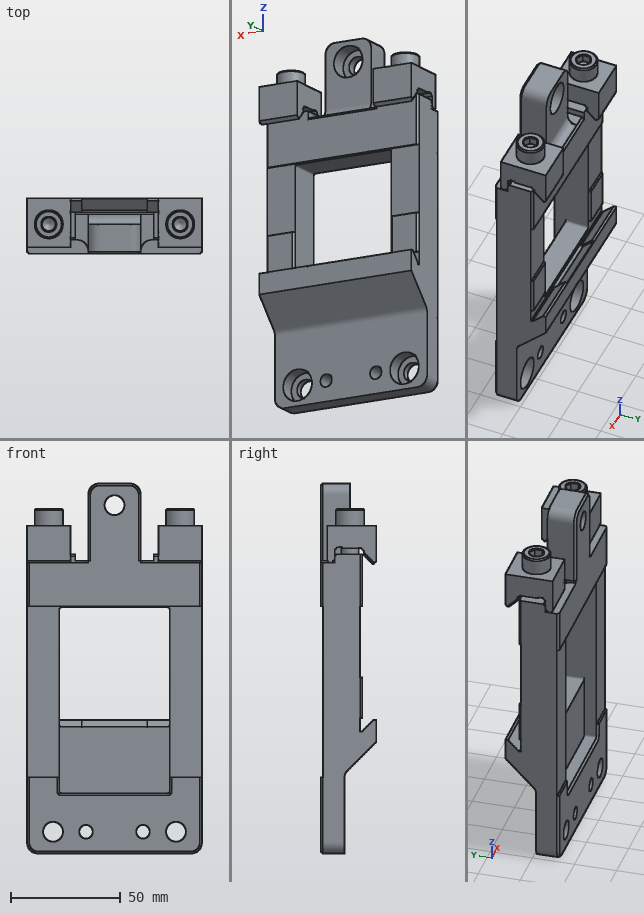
import cadquery as cq

WIDTH = 80.0
HEIGHT = 169.0
DEPTH = 25.5
PAD = 1.0
BACK_Y = 18.0
FOOT_BACK_Y = 11.0
BOTTOM_RADIUS = 5.0
HALF_WIDTH = WIDTH / 2

POST_TOP_Z = 136.7
SADDLE_TOP_Z = 133.7
SADDLE_HALF_WIDTH = 17.9
SHELF_Z = 132.7
SHELF_BACK_Y = 6.5
SHELF_CORNER_RADIUS = 5.0
POST_CHAMFER = 1.0
TONGUE_WIDTH = 24.0
TONGUE_BACK_Y = 13.5
TONGUE_RADIUS = 5.0
TONGUE_ROOT_RADIUS = 4.0

WINDOW_WIDTH = 50.4
WINDOW_TOP_Z = 112.4
WINDOW_BOTTOM_Z = 57.8
WINDOW_RADIUS = 1.0
POCKET_BOTTOM_Z = 27.5
POCKET_DEPTH = 6.8
UPPER_PAD_BOTTOM_Z = 112.9
LOWER_PAD_TOP_Z = 34.8
REAR_PAD_BOTTOM_Z = 61.9
REAR_PAD_TOP_Z = 80.5

HOOK_TOP_Z = 61.0
HOOK_TIP_WIDTH = 1.4
HOOK_NOTCH_Z = 55.8
HOOK_BASE_Z = 51.0
HOOK_ROOT_RADIUS = 4.0
HOOK_RELIEF = 1.0
HOOK_RELIEF_WIDTH = 30.0

BOLT_DIAMETER = 9.0
BOLT_HEAD_DIAMETER = 15.0
BOLT_SEAT_Y = 3.5
TONGUE_SEAT_Y = 4.9
BOLT_X = 28.0
LOWER_HOLE_Z = 10.0
PIN_DIAMETER = 6.0
PIN_X = 13.0
TONGUE_HOLE_Z = 159.0

CLAMP_WIDTH = 20.0
CLAMP_TOP_Z = 149.7
CLAMP_FRONT_Y = 3.0
CLAMP_ROOF_Z = 139.5
CLAMP_RELIEF_Z = 140.0
CLAMP_RELIEF_Y = 10.0
CLAMP_HOOK_INNER_Y = 19.8
CLAMP_HOOK_SLOPE_Z = 136.2
CLAMP_TIP_Z = 132.0
CLAMP_HOOK_BEVEL = 0.8
FOOT_OUTER_CHAMFER = 1.0
FOOT_INNER_CHAMFER = 1.5
ROOF_CHAMFER = 1.4
CLAMP_HOLE_DIAMETER = 9.0

SCREW_X = HALF_WIDTH - CLAMP_WIDTH / 2
SCREW_Y = 13.5
SHANK_DIAMETER = 8.0
HEAD_DIAMETER = 13.0
HEAD_HEIGHT = 7.8
HEAD_CHAMFER = 0.7
SOCKET_FLATS = 6.0
SOCKET_MOUTH_DIAMETER = 7.1
SOCKET_DEPTH = 4.0
SOCKET_CONE_DEPTH = 1.7
SOCKET_BEVEL = 0.5
SCREW_TIP_Z = 117.3

SIDES = (-1, 1)


def block(x0, x1, y0, y1, z0, z1):
    """Box between two opposite corners."""
    return cq.Workplane("XY").box(x1 - x0, y1 - y0, z1 - z0, centered=False).translate((x0, y0, z0))


def side_prism(points, width):
    """Outline of (y, z) points extruded along X, centred on X = 0."""
    return cq.Workplane("YZ").polyline(points).close().extrude(width / 2, both=True)


def cylinder_y(x, z, diameter, y0, y1):
    """Cylinder along Y."""
    return cq.Workplane("XZ", origin=(x, y0, z)).circle(diameter / 2).extrude(y0 - y1)


def cylinder_z(x, y, diameter, z0, z1):
    """Cylinder along Z."""
    return cq.Workplane("XY", origin=(x, y, z0)).circle(diameter / 2).extrude(z1 - z0)


def cone_down(x, y, top_z, top_diameter, end_diameter, depth):
    """Cone or frustum that narrows downwards from top_z."""
    return cq.Workplane(
        cq.Solid.makeCone(
            top_diameter / 2, end_diameter / 2, depth, cq.Vector(x, y, top_z), cq.Vector(0, 0, -1)
        )
    )


def plate():
    """Full-width plate up to the post tops, with rounded lower corners and a chamfered front outline."""
    body = block(-HALF_WIDTH, HALF_WIDTH, 0, BACK_Y, 0, POST_TOP_Z)
    body = body.edges("|Y and <Z").fillet(BOTTOM_RADIUS)
    body = body.faces("<Y").edges().chamfer(PAD)
    return body.cut(block(-HALF_WIDTH, HALF_WIDTH, FOOT_BACK_Y, BACK_Y, 0, HOOK_NOTCH_Z))


def hook():
    """Hook across the back: a flat tip and two 45 degree slopes, the upper one set back in the middle."""
    tip_y = DEPTH - HOOK_TIP_WIDTH
    notch_y = tip_y - (HOOK_TOP_Z - HOOK_NOTCH_Z)
    root_z = HOOK_BASE_Z - (DEPTH - FOOT_BACK_Y)
    inner_y = FOOT_BACK_Y / 2
    body = side_prism(
        [
            (inner_y, HOOK_NOTCH_Z),
            (notch_y, HOOK_NOTCH_Z),
            (tip_y, HOOK_TOP_Z),
            (DEPTH, HOOK_TOP_Z),
            (DEPTH, HOOK_BASE_Z),
            (FOOT_BACK_Y, root_z),
            (FOOT_BACK_Y, root_z / 2),
            (inner_y, root_z / 2),
        ],
        WIDTH,
    )
    root = cq.selectors.NearestToPointSelector((0, FOOT_BACK_Y, root_z))
    body = body.edges(root).fillet(HOOK_ROOT_RADIUS)
    relief = side_prism(
        [
            (notch_y, HOOK_NOTCH_Z),
            (notch_y + HOOK_RELIEF, HOOK_NOTCH_Z),
            (tip_y + HOOK_RELIEF, HOOK_TOP_Z),
            (tip_y, HOOK_TOP_Z),
        ],
        HOOK_RELIEF_WIDTH,
    )
    return body.cut(relief)


def rear_pads():
    """Raised pads on the back: across the upper end, and one low on each post."""
    pad_back_y = BACK_Y + PAD
    pads = block(-HALF_WIDTH, HALF_WIDTH, SHELF_BACK_Y, pad_back_y, UPPER_PAD_BOTTOM_Z, SADDLE_TOP_Z)
    pads = pads.edges("(|Z and >Y) or (>Y and >Z)").chamfer(PAD)
    half_window = WINDOW_WIDTH / 2
    post_top = block(SADDLE_HALF_WIDTH, HALF_WIDTH, TONGUE_BACK_Y, pad_back_y, UPPER_PAD_BOTTOM_Z, POST_TOP_Z)
    post_top = post_top.edges("|Z and >X and >Y").chamfer(PAD)
    low = block(half_window, HALF_WIDTH, TONGUE_BACK_Y, pad_back_y, REAR_PAD_BOTTOM_Z, REAR_PAD_TOP_Z)
    low = low.edges("|Z and >Y").chamfer(PAD)
    for pad in (post_top, low):
        pads = pads.union(pad).union(pad.mirror("YZ"))
    return pads


def shelf_space():
    """Space above the +X clamp ledge, rounded at its inner back corner."""
    space = block(TONGUE_WIDTH / 2, HALF_WIDTH, 0, SHELF_BACK_Y, SHELF_Z, POST_TOP_Z)
    space = space.edges("|Z and >Y and <X").fillet(SHELF_CORNER_RADIUS)
    post_edge = [
        (SHELF_BACK_Y, POST_TOP_Z),
        (SHELF_BACK_Y, POST_TOP_Z - POST_CHAMFER),
        (SHELF_BACK_Y + POST_CHAMFER, POST_TOP_Z),
    ]
    bevel = side_prism(post_edge, WIDTH).intersect(
        block(SADDLE_HALF_WIDTH, HALF_WIDTH, 0, BACK_Y, SHELF_Z, POST_TOP_Z)
    )
    return space.union(bevel)


def tongue():
    """Rounded tongue with a chamfered front outline and a concave root behind it."""
    half_tongue = TONGUE_WIDTH / 2
    body = block(-half_tongue, half_tongue, 0, TONGUE_BACK_Y, WINDOW_TOP_Z + PAD, HEIGHT)
    body = body.edges("|Y and >Z").fillet(TONGUE_RADIUS)
    body = body.faces("<Y").edges().chamfer(PAD)
    root_top_z = SADDLE_TOP_Z + TONGUE_ROOT_RADIUS
    root_back_y = TONGUE_BACK_Y + TONGUE_ROOT_RADIUS
    root = (
        cq.Workplane("YZ")
        .moveTo(TONGUE_BACK_Y, SADDLE_TOP_Z)
        .lineTo(TONGUE_BACK_Y, root_top_z)
        .radiusArc((root_back_y, SADDLE_TOP_Z), -TONGUE_ROOT_RADIUS)
        .close()
        .extrude(half_tongue, both=True)
    )
    return body.union(root)


def window():
    """Through window, the pocket below it and the chamfered pocket rim."""
    half_window = WINDOW_WIDTH / 2
    ledge_back_y = DEPTH - HOOK_TIP_WIDTH - (HOOK_TOP_Z - WINDOW_BOTTOM_Z)
    opening = block(-half_window, half_window, 0, ledge_back_y, WINDOW_BOTTOM_Z, WINDOW_TOP_Z)
    opening = opening.edges("|Y").fillet(WINDOW_RADIUS)
    pocket_top_z = WINDOW_BOTTOM_Z + 2 * WINDOW_RADIUS
    pocket = block(-half_window, half_window, 0, POCKET_DEPTH, POCKET_BOTTOM_Z, pocket_top_z)
    pocket = pocket.edges("|Y and <Z").fillet(WINDOW_RADIUS)
    rim_width = WINDOW_WIDTH + 2 * PAD
    rim_height = pocket_top_z - POCKET_BOTTOM_Z + PAD
    rim = (
        cq.Workplane("XZ", origin=(0, 0, pocket_top_z - rim_height / 2))
        .sketch()
        .rect(rim_width, rim_height)
        .vertices()
        .fillet(WINDOW_RADIUS + PAD)
        .finalize()
        .extrude(-PAD, taper=45)
    )
    return opening.union(pocket).union(rim)


def frame_holes():
    """Counterbored bolt holes in the lower plate and the tongue, and plain pin holes."""
    holes = cylinder_y(0, TONGUE_HOLE_Z, BOLT_DIAMETER, 0, TONGUE_BACK_Y)
    holes = holes.union(cylinder_y(0, TONGUE_HOLE_Z, BOLT_HEAD_DIAMETER, TONGUE_SEAT_Y, TONGUE_BACK_Y))
    for side in SIDES:
        bolt_x = side * BOLT_X
        holes = holes.union(cylinder_y(bolt_x, LOWER_HOLE_Z, BOLT_DIAMETER, 0, FOOT_BACK_Y))
        holes = holes.union(cylinder_y(bolt_x, LOWER_HOLE_Z, BOLT_HEAD_DIAMETER, BOLT_SEAT_Y, FOOT_BACK_Y))
        holes = holes.union(cylinder_y(side * PIN_X, LOWER_HOLE_Z, PIN_DIAMETER, 0, FOOT_BACK_Y))
    return holes


def make_frame():
    """Window frame with a tongue on top and a hook at the back."""
    pad_back_y = BACK_Y + PAD
    body = plate().union(rear_pads()).union(hook())
    body = body.cut(shelf_space()).cut(shelf_space().mirror("YZ"))
    body = body.cut(
        block(-SADDLE_HALF_WIDTH, SADDLE_HALF_WIDTH, 0, pad_back_y, SADDLE_TOP_Z, POST_TOP_Z)
    )
    body = body.cut(block(-HALF_WIDTH, HALF_WIDTH, 0, PAD, LOWER_PAD_TOP_Z, UPPER_PAD_BOTTOM_Z))
    body = body.union(tongue()).cut(window()).cut(frame_holes())
    for side in SIDES:
        body = body.cut(cylinder_z(side * SCREW_X, SCREW_Y, SHANK_DIAMETER, SCREW_TIP_Z, POST_TOP_Z))
    return body


def make_clamp(side):
    """Clamp block with a front foot on the ledge, a rear hook and a screw hole."""
    tip_y = CLAMP_HOOK_INNER_Y + (CLAMP_HOOK_SLOPE_Z - CLAMP_TIP_Z)
    foot_inner_y = SHELF_BACK_Y
    body = side_prism(
        [
            (CLAMP_FRONT_Y, CLAMP_TOP_Z),
            (CLAMP_FRONT_Y, SHELF_Z + FOOT_OUTER_CHAMFER),
            (CLAMP_FRONT_Y + FOOT_OUTER_CHAMFER, SHELF_Z),
            (foot_inner_y - FOOT_INNER_CHAMFER, SHELF_Z),
            (foot_inner_y, SHELF_Z + FOOT_INNER_CHAMFER),
            (foot_inner_y, CLAMP_RELIEF_Z - ROOF_CHAMFER),
            (foot_inner_y + ROOF_CHAMFER, CLAMP_RELIEF_Z),
            (CLAMP_RELIEF_Y, CLAMP_RELIEF_Z),
            (CLAMP_RELIEF_Y, CLAMP_ROOF_Z),
            (CLAMP_HOOK_INNER_Y - ROOF_CHAMFER, CLAMP_ROOF_Z),
            (CLAMP_HOOK_INNER_Y, CLAMP_ROOF_Z - ROOF_CHAMFER),
            (CLAMP_HOOK_INNER_Y, CLAMP_HOOK_SLOPE_Z),
            (tip_y, CLAMP_TIP_Z),
            (DEPTH, CLAMP_TIP_Z + DEPTH - tip_y),
            (DEPTH, CLAMP_TOP_Z),
        ],
        CLAMP_WIDTH,
    ).translate((side * SCREW_X, 0, 0))
    slope_y = (CLAMP_HOOK_INNER_Y + tip_y) / 2
    slope_z = (CLAMP_HOOK_SLOPE_Z + CLAMP_TIP_Z) / 2
    slope_end = cq.selectors.NearestToPointSelector((side * HALF_WIDTH, slope_y, slope_z))
    body = body.edges(slope_end).chamfer(CLAMP_HOOK_BEVEL)
    return body.cut(cylinder_z(side * SCREW_X, SCREW_Y, CLAMP_HOLE_DIAMETER, SHELF_Z, CLAMP_TOP_Z))


def make_screw(side):
    """Socket head screw standing on its clamp and running down into the post."""
    x = side * SCREW_X
    head_top_z = CLAMP_TOP_Z + HEAD_HEIGHT
    head = cylinder_z(x, SCREW_Y, HEAD_DIAMETER, CLAMP_TOP_Z, head_top_z)
    head = head.faces(">Z").edges().chamfer(HEAD_CHAMFER)
    socket_floor_z = head_top_z - SOCKET_DEPTH
    socket = (
        cq.Workplane("XY")
        .polygon(6, SOCKET_FLATS, circumscribed=True)
        .extrude(SOCKET_DEPTH)
        .translate((x, SCREW_Y, socket_floor_z))
    )
    socket = socket.union(cone_down(x, SCREW_Y, socket_floor_z, SOCKET_FLATS, 0, SOCKET_CONE_DEPTH))
    mouth = cone_down(x, SCREW_Y, head_top_z, SOCKET_MOUTH_DIAMETER, SOCKET_FLATS, SOCKET_BEVEL)
    shank = cylinder_z(x, SCREW_Y, SHANK_DIAMETER, SCREW_TIP_Z, CLAMP_TOP_Z)
    return head.union(shank).cut(socket).cut(mouth)


frame = make_frame()
clamps = [make_clamp(side) for side in SIDES]
screws = [make_screw(side) for side in SIDES]

result = cq.Compound.makeCompound(
    [frame.val(), *[clamp.val() for clamp in clamps], *[screw.val() for screw in screws]]
)